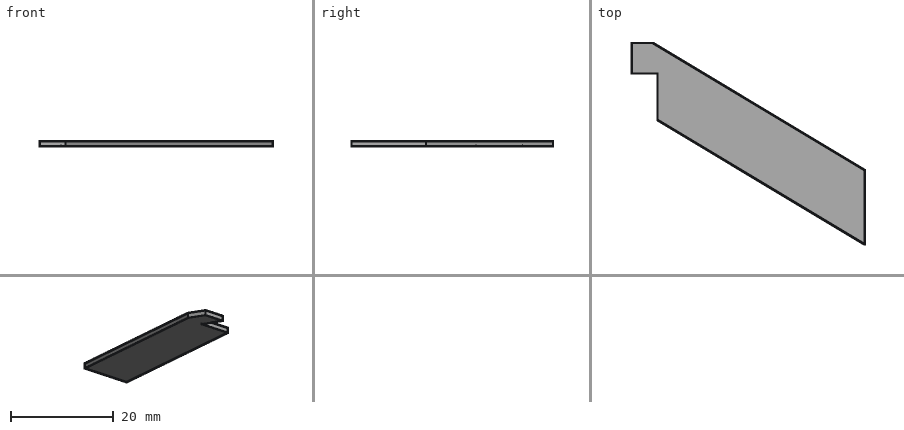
import cadquery as cq

length = 45.3
width = 39.2
thickness = 1.0

tab_step = 5.0
tab_height = 6.0
tab_top = 4.1

left_end_height = 9.0
blade_left_y = width - tab_height - left_end_height
slope = blade_left_y / (length - tab_step)
right_end_height = width - slope * (length - tab_top)

outline = [
    (0, width),
    (tab_top, width),
    (length, right_end_height),
    (length, 0),
    (tab_step, blade_left_y),
    (tab_step, width - tab_height),
    (0, width - tab_height),
]

result = cq.Workplane("XY").polyline(outline).close().extrude(thickness)